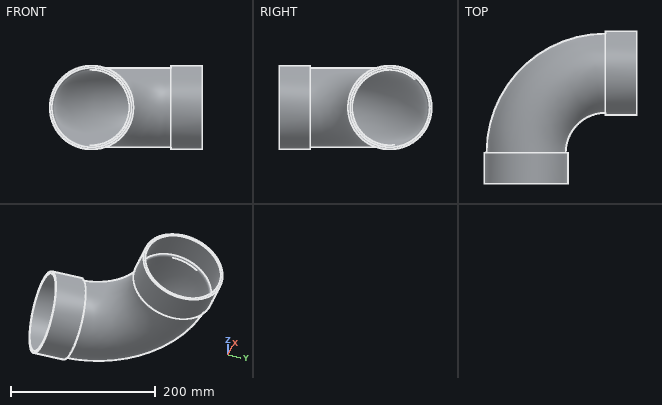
import cadquery as cq
import math

overall_length = 211.0
socket_diameter = 116.0
socket_length = 43.3
pipe_diameter = 110.0
bend_bore = 104.0

socket_radius = socket_diameter / 2
pipe_radius = pipe_diameter / 2
bore_radius = bend_bore / 2

stop_round = pipe_radius - bore_radius

bend_radius = overall_length - socket_radius - socket_length


def quarter_bend(radius):
    """Solid quarter torus from the origin, heading +Y and turning to +X."""
    return (
        cq.Workplane("XZ")
        .circle(radius)
        .revolve(90, (bend_radius, 0, 0), (bend_radius, -1, 0))
    )


def at_both_ends(profile):
    """Revolve a closed profile about the pipe axis (Y) and place a copy at each end of the bend."""
    lower = profile.revolve(360, (0, 0, 0), (0, 1, 0))
    side = lower.rotate((0, 0, 0), (0, 0, 1), 90).translate((bend_radius, bend_radius, 0))
    return lower.union(side)


def socket_body_profile():
    """Half section of a plain socket collar, running along -Y from the end of the bend."""
    return (
        cq.Workplane("XY")
        .lineTo(socket_radius, 0)
        .lineTo(socket_radius, -socket_length)
        .lineTo(0, -socket_length)
        .close()
    )


def socket_cavity_profile():
    """Half section of the socket bore, with a convex rounded stop at its foot."""
    round_middle = (
        pipe_radius - stop_round * math.cos(math.pi / 4),
        -stop_round * math.sin(math.pi / 4),
    )
    return (
        cq.Workplane("XY")
        .lineTo(bore_radius, 0)
        .threePointArc(round_middle, (pipe_radius, -stop_round))
        .lineTo(pipe_radius, -socket_length)
        .lineTo(0, -socket_length)
        .close()
    )


outside = quarter_bend(pipe_radius).union(at_both_ends(socket_body_profile()))
inside = quarter_bend(bore_radius).union(at_both_ends(socket_cavity_profile()))
result = outside.cut(inside)